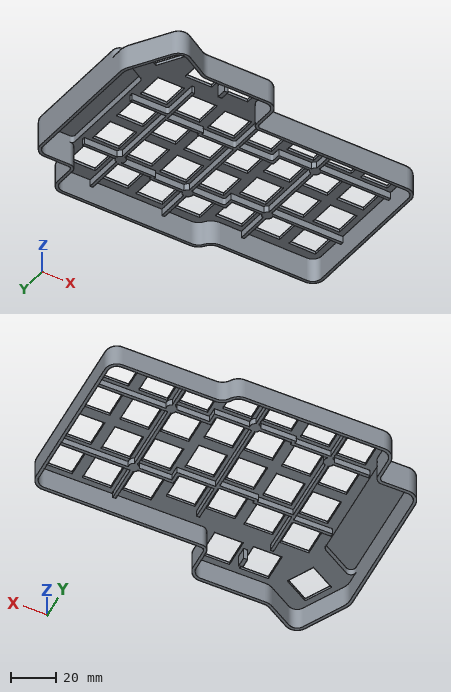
import cadquery as cq
import math

pitch = 19.05
hole_size = 14.0
plate_thickness = 1.5
wall = 1.5
case_height = 14.0
total_height = 17.5
edge_margin = 2.0
case_length = 158.11

rows = 4
column_drops = [3.8, 1.2, 0.0, 1.2, 6.2, 7.6, 7.6]

thumb_row_y = -25.2
thumb_columns = [0.5, 1.5]
tilted_key_x = -0.8 * pitch
tilted_key_y = -27.2
tilt = 30.0
tilted_key_length = 1.5 * pitch

corner_radius = 6.0
notch_radius = 2.0
step_upper_radius = 7.0
step_lower_radius = 6.0
waist_radius = 9.5
case_edge_radius = 3.0

bay_width = 21.7
bay_back_y = 50.9
bay_front_centre_y = -12.0
bay_corner_radius = 4.0
bay_back_corner_radius = 3.0
bay_edge_radius = 2.5

rib_width = 1.5
rib_bottom_z = 9.0
rib_column_gaps = [0, 2, 4]
rib_row_gaps = [0, 2]
post_radius = 2.5
post_gaps = [(0, 2), (2, 2), (4, 2), (4, 0)]
rib_corner_radius = 1.0
rounded_rib_corners = [(0, 0), (2, 0), (3, 0), (3, 2)]

stay_x = pitch
stay_back_y = -21.0
stay_length = 5.0
stay_width = 2.0
stay_bottom_z = 6.0

front_margin = 11.2
step_column = 4

key_to_wall = pitch / 2 + edge_margin
cos_tilt = math.cos(math.radians(tilt))
sin_tilt = math.sin(math.radians(tilt))
right_x = (len(column_drops) - 1) * pitch + key_to_wall
left_x = right_x - case_length
back_y = (rows - 1) * pitch + key_to_wall
step_y = back_y - column_drops[step_column]
front_y = -column_drops[-1] - front_margin
thumb_front_y = thumb_row_y - key_to_wall
thumb_right_x = thumb_columns[-1] * pitch + key_to_wall
field_left_x = -key_to_wall
bay_right_x = left_x + bay_width


def tilted(along, across):
    """Point given in the frame of the tilted thumb key."""
    return (
        tilted_key_x + along * cos_tilt - across * sin_tilt,
        tilted_key_y + along * sin_tilt + across * cos_tilt,
    )


def rounded_wire(corners):
    """Closed outline through (x, y, radius) corners, each rounded by a tangent arc."""
    arcs = []
    count = len(corners)
    for i in range(count):
        x, y, radius = corners[i]
        before = cq.Vector(corners[i - 1][0] - x, corners[i - 1][1] - y).normalized()
        after = cq.Vector(corners[(i + 1) % count][0] - x, corners[(i + 1) % count][1] - y).normalized()
        half_angle = before.getAngle(after) / 2
        corner = cq.Vector(x, y)
        reach = radius / math.tan(half_angle)
        bisector = (before + after).normalized()
        middle = corner + bisector * (radius / math.sin(half_angle) - radius)
        arcs.append((corner + before * reach, middle, corner + after * reach))
    path = cq.Workplane("XY").moveTo(*arcs[0][0].toTuple()[:2])
    for i, (start, middle, end) in enumerate(arcs):
        path = path.threePointArc(middle.toTuple()[:2], end.toTuple()[:2])
        following = arcs[(i + 1) % count][0]
        if i < count - 1 and (following - end).Length > 1e-6:
            path = path.lineTo(*following.toTuple()[:2])
    return path.close()


def case_outline():
    step_height = back_y - step_y
    step_angle = math.acos(1 - step_height / (step_upper_radius + step_lower_radius))
    step_start_x = (step_column - 1) * pitch + key_to_wall - corner_radius
    upper_x = step_start_x + step_upper_radius * math.tan(step_angle / 2)
    lower_x = upper_x + step_height / math.tan(step_angle)
    key_front = -(tilted_key_length / 2 + edge_margin)
    tip = tilted(-key_to_wall, key_front)
    waist_y = tip[1] + (tip[0] - left_x) / math.tan(math.radians(tilt))
    thumb_bend_x = tip[0] + (thumb_front_y - tip[1]) / math.tan(math.radians(tilt))
    return rounded_wire([
        (field_left_x, back_y, corner_radius),
        (upper_x, back_y, step_upper_radius),
        (lower_x, step_y, step_lower_radius),
        (right_x, step_y, corner_radius),
        (right_x, front_y, corner_radius),
        (thumb_right_x, front_y, notch_radius),
        (thumb_right_x, thumb_front_y, corner_radius),
        (thumb_bend_x, thumb_front_y, corner_radius),
        (tip[0], tip[1], corner_radius),
        (left_x, waist_y, waist_radius),
        (left_x, bay_back_y, corner_radius),
        (field_left_x, bay_back_y, notch_radius),
    ])


def bay_outline():
    sharp_y = bay_front_centre_y - bay_corner_radius / math.tan(math.radians(tilt))
    front_right_y = sharp_y + bay_width * math.tan(math.radians(tilt))
    return rounded_wire([
        (left_x, bay_back_y, corner_radius),
        (bay_right_x, bay_back_y, bay_back_corner_radius),
        (bay_right_x, front_right_y, bay_corner_radius),
        (left_x, sharp_y, bay_corner_radius),
    ])


def outer_body():
    case = case_outline().extrude(case_height).faces(">Z").edges().fillet(case_edge_radius)
    bay = bay_outline().extrude(total_height).faces(">Z").edges().fillet(bay_edge_radius)
    return case.union(bay)


def key_positions():
    keys = []
    for column, drop in enumerate(column_drops):
        for row in range(rows):
            keys.append((column * pitch, row * pitch - drop, 0))
    for column in thumb_columns:
        keys.append((column * pitch, thumb_row_y, 0))
    keys.append((tilted_key_x, tilted_key_y, tilt))
    return keys


def block(x_min, x_max, y_min, y_max, z_min, z_max):
    size = (x_max - x_min, y_max - y_min, z_max - z_min)
    return cq.Workplane("XY").box(*size, centered=False).translate((x_min, y_min, z_min))


def rib(x_min, x_max, y_min, y_max):
    """Bar under the plate around a centre line, half a rib width beyond it all round."""
    half = rib_width / 2
    return block(x_min - half, x_max + half, y_min - half, y_max + half, rib_bottom_z, case_height - plate_thickness)


def bar_y(column, row):
    """Middle of the plate bar behind a key."""
    return (row + 0.5) * pitch - column_drops[column]


def gap_x(column):
    """Middle of the plate bar to the right of a column."""
    return (column + 0.5) * pitch


def ribs():
    """Bars between the openings; those along X step with the stagger of the columns."""
    bars = cq.Workplane("XY")
    for column in rib_column_gaps:
        x = gap_x(column)
        wall_face_y = step_y if column >= step_column else back_y
        bars = bars.add(rib(x, x, bar_y(column, -1), wall_face_y - wall))
    for row in rib_row_gaps:
        for column in range(len(column_drops)):
            left = gap_x(column - 1)
            y = bar_y(column, row)
            bars = bars.add(rib(left, left + pitch, y, y))
            if column > 0:
                previous_y = bar_y(column - 1, row)
                bars = bars.add(rib(left, left, min(y, previous_y), max(y, previous_y)))
    return bars.combine()


def round_rib_corners(bars):
    """Round the front left corner where a rib along X meets one along Y."""
    reach = 0.1
    for column, row in rounded_rib_corners:
        x = gap_x(column) - rib_width / 2
        y = bar_y(column, row) - rib_width / 2
        near = cq.selectors.BoxSelector(
            (x - reach, y - reach, 0), (x + reach, y + reach, case_height)
        )
        bars = bars.edges("|Z").edges(near).fillet(rib_corner_radius)
    return bars


def posts():
    height = case_height - plate_thickness - rib_bottom_z
    centres = [(gap_x(column), bar_y(column, row)) for column, row in post_gaps]
    return cq.Workplane("XY", origin=(0, 0, rib_bottom_z)).pushPoints(centres).circle(post_radius).extrude(height)


def thumb_stay():
    x_min = stay_x - stay_width / 2
    y_min = stay_back_y - stay_length
    return block(x_min, x_min + stay_width, y_min, stay_back_y, stay_bottom_z, case_height - plate_thickness)


case_cavity = case_outline().offset2D(-wall).extrude(case_height - plate_thickness)
bay_cavity = bay_outline().offset2D(-wall).extrude(total_height - plate_thickness)
result = outer_body().cut(case_cavity).cut(bay_cavity)
result = result.union(round_rib_corners(ribs())).union(posts()).union(thumb_stay())
for x, y, angle in key_positions():
    opening = cq.Workplane("XY").box(hole_size, hole_size, 2 * total_height)
    result = result.cut(opening.rotate((0, 0, 0), (0, 0, 1), angle).translate((x, y, 0)))